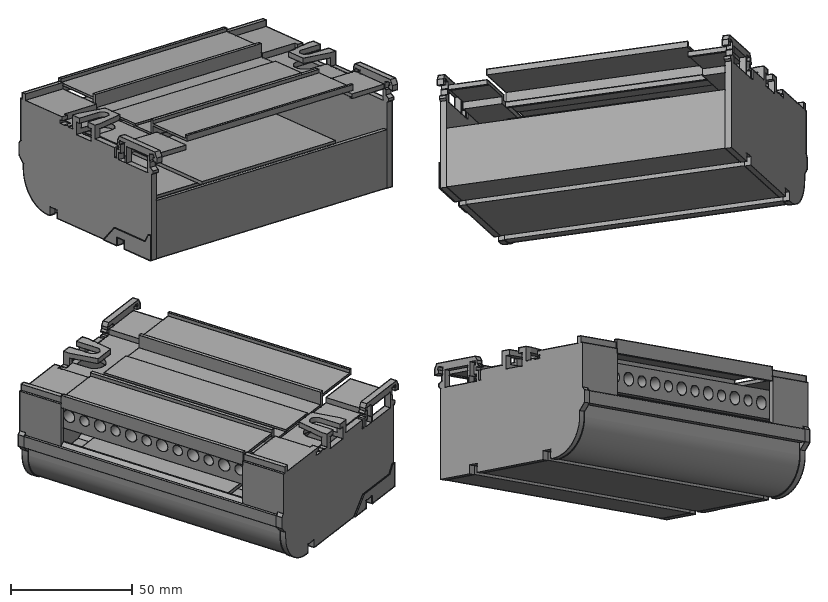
import cadquery as cq
import math

cap_end = 64.5
plate_thickness = 2.9
plate_inner = cap_end - plate_thickness
cover_end = 44.5
foot_plate_thickness = 0.5

front_x = 1.2
toe_x = 2.9
right_x = 85.8
nose_bottom = 21.0
nose_top = 26.3
nose_slope_top = 27.6
toe_top = 17.9
toe_radius = 15.8
toe_end = toe_x + toe_radius
heel_x = toe_end + 1.3
sole_z = 0.3
notch_height = 4.0
notch_width = 4.7
notch_starts = (20.1, 63.9)

plate_top = 43.2
window_bottom = 38.6
rear_window = (69.6, 83.2)

ridge_top = 49.3
ridge_start = 2.2
ridge_end = 4.3
front_wall = 2.1
front_deck = 46.4
front_deck_end = 26.2
middle_deck = 43.5
middle_deck_bottom = 41.3
rear_deck = 46.0
rear_deck_start = 65.2
rear_deck_end = 84.0
deck_thickness = 1.5
step_wall = 2.0
rear_lip = 1.2
rear_lip_bottom = 44.0

lug_middle = 42.0
lug_base_width = 14.5
lug_tip_width = 9.6
lug_length = 15.4
lug_bottom = 46.9
lug_slot_width = 5.5
lug_slot_length = 12.7
lug_opening_length = 15.3

cover_top = 50.4
cover_wall = 1.5
channel_top = 48.9
channel_thickness = 1.0
front_channel = (1.4, 25.4)
rear_channel = (61.2, 84.6)
rear_edge_wall = 1.2
center_panel = (34.5, 51.2)
web_thickness = 0.9
tongue = (62.0, 63.1)
tongue_bottom = 41.2

bar_front = 9.2
bar_thickness = 6.5
bar_bottom = 30.1
bar_top = 42.3
hole_z = 36.4
hole_pitch = 7.6
large_hole = 5.6
small_hole = 4.7
holes_each_side = 6

tray_inset = 0.4
tray_wall = 2.0
tray_floor = 5.6
inner_radius = 10.4
ramp_crest = 3.1
rim_inner = 3.6
rib_start = 41.6
rib_end = 44.5
rib_height = 1.5
board_end = 35.8
board_top = 27.5
board_thickness = 1.5


def section(points):
    return cq.Workplane("XZ").polyline(points).close()


def extrude_between(outline, start, end):
    """Extrude a closed XZ outline from Y = start to Y = end."""
    return outline.extrude(start - end).translate((0, start, 0))


def block(x_start, x_end, z_start, z_end, y_start, y_end):
    corners = [(x_start, z_start), (x_end, z_start), (x_end, z_end), (x_start, z_end)]
    return extrude_between(section(corners), y_start, y_end)


def quarter_point(radius):
    """Distance of the middle of a quarter arc from each of the two sides it joins."""
    return radius * (1 - math.sqrt(0.5))


def cut_notches(body):
    """Cut the two square notches that run along Y in the underside."""
    for start in notch_starts:
        notch = block(start, start + notch_width, 0, notch_height, -cap_end - foot_plate_thickness, cap_end)
        body = body.cut(notch)
    return body


def end_plate():
    arc_middle = quarter_point(toe_radius)
    outline = (
        cq.Workplane("XZ")
        .moveTo(toe_end, 0)
        .threePointArc((toe_x + arc_middle, arc_middle), (toe_x, toe_radius))
        .lineTo(toe_x, toe_top)
        .lineTo(0, nose_bottom)
        .lineTo(0, nose_top)
        .lineTo(front_x, nose_slope_top)
        .lineTo(front_x, front_deck)
        .lineTo(28.0, front_deck)
        .lineTo(28.0, 44.6)
        .lineTo(26.7, 44.6)
        .lineTo(26.7, plate_top)
        .lineTo(30.0, plate_top)
        .lineTo(30.0, middle_deck)
        .lineTo(32.3, middle_deck)
        .lineTo(32.3, plate_top)
        .lineTo(61.8, plate_top)
        .lineTo(61.8, 38.9)
        .lineTo(63.1, 38.9)
        .lineTo(63.1, plate_top)
        .lineTo(64.5, plate_top)
        .lineTo(64.5, 44.6)
        .lineTo(63.3, 44.8)
        .lineTo(63.3, 45.4)
        .lineTo(64.0, 46.1)
        .lineTo(64.0, 47.5)
        .lineTo(65.1, ridge_top)
        .lineTo(88.0, ridge_top)
        .lineTo(89.3, 46.9)
        .lineTo(89.3, 44.5)
        .lineTo(86.8, 45.0)
        .lineTo(86.8, 46.4)
        .lineTo(87.5, 46.5)
        .lineTo(87.2, 47.7)
        .lineTo(86.0, 47.7)
        .lineTo(85.5, 47.3)
        .lineTo(84.5, 47.3)
        .lineTo(84.5, 44.3)
        .lineTo(85.0, 43.8)
        .lineTo(85.0, 41.5)
        .lineTo(86.8, 40.5)
        .lineTo(86.8, 39.3)
        .lineTo(right_x, 38.5)
        .lineTo(right_x, sole_z)
        .lineTo(heel_x, sole_z)
        .lineTo(heel_x, 0)
        .close()
    )
    post_window = section([
        (64.5, window_bottom), (64.5, 41.7), (65.8, 41.7), (65.8, 45.6), (65.2, 45.6),
        (65.2, 47.3), (68.3, 47.3), (68.3, 41.5), (68.7, 41.5), (68.7, window_bottom),
    ])
    plate = extrude_between(outline, -cap_end, -plate_inner)
    plate = plate.cut(extrude_between(post_window, -cap_end, -plate_inner))
    plate = plate.cut(block(*rear_window, window_bottom, rear_deck, -cap_end, -plate_inner))
    return cut_notches(plate)


def cap_shell():
    """Front wall and stepped decks between the end plate and the cover."""
    front_inner = front_x + front_wall
    front_underside = front_deck - deck_thickness
    rear_underside = rear_deck - deck_thickness
    outline = section([
        (front_x, nose_top),
        (front_x, front_deck),
        (ridge_start, front_deck),
        (ridge_start, ridge_top),
        (ridge_end, ridge_top),
        (ridge_end, front_deck),
        (front_deck_end, front_deck),
        (front_deck_end, middle_deck),
        (rear_deck_start, middle_deck),
        (rear_deck_start, rear_deck),
        (rear_deck_end, rear_deck),
        (rear_deck_end, rear_lip_bottom),
        (rear_deck_end - rear_lip, rear_lip_bottom),
        (rear_deck_end - rear_lip, rear_underside),
        (rear_deck_start + step_wall, rear_underside),
        (rear_deck_start + step_wall, middle_deck_bottom),
        (front_deck_end - step_wall, middle_deck_bottom),
        (front_deck_end - step_wall, front_underside),
        (front_inner, front_underside),
        (front_inner, nose_top),
    ])
    shell = extrude_between(outline, -plate_inner, -cover_end)
    ridge_on_plate = block(ridge_start, ridge_end, front_deck, ridge_top, -cap_end, -plate_inner)
    return shell.union(ridge_on_plate)


def lug():
    base = lug_base_width / 2
    tip = lug_tip_width / 2
    plan = [
        (-base, -cap_end),
        (base, -cap_end),
        (base, -plate_inner),
        (tip, lug_length - cap_end),
        (-tip, lug_length - cap_end),
        (-base, -plate_inner),
    ]
    tongue_plate = (
        cq.Workplane("XY", origin=(lug_middle, 0, lug_bottom))
        .polyline(plan)
        .close()
        .extrude(ridge_top - lug_bottom)
    )
    support = block(lug_middle - base, lug_middle + base, plate_top, lug_bottom, -cap_end, -plate_inner)
    return tongue_plate.union(support)


def round_ended_slot(width, length, z_start, z_end):
    """Slot open at the outer face of the cap and rounded at its inner end."""
    half = width / 2
    slot_end = length - cap_end
    return (
        cq.Workplane("XY", origin=(lug_middle, 0, z_start))
        .moveTo(-half, -cap_end)
        .lineTo(half, -cap_end)
        .lineTo(half, slot_end - half)
        .threePointArc((0, slot_end), (-half, slot_end - half))
        .close()
        .extrude(z_end - z_start)
    )


def end_cap():
    """Cap at the -Y end."""
    cap = end_plate().union(cap_shell()).union(lug())
    cap = cap.cut(round_ended_slot(lug_tip_width, lug_opening_length, middle_deck_bottom, lug_bottom))
    return cap.cut(round_ended_slot(lug_slot_width, lug_slot_length, lug_bottom, ridge_top))


def foot_plate():
    """Thin plate on the outer face of the -Y cap, with a bevelled slanted edge."""
    slant_start = (55.0, sole_z)
    slant_end = (62.0, 7.8)
    bevel = 0.4
    outer_face = -cap_end - foot_plate_thickness
    outline = section([
        slant_start, slant_end, (82.0, 7.8), (84.4, 11.5), (right_x, 11.5), (right_x, sole_z),
    ])
    slant_middle = (
        (slant_start[0] + slant_end[0]) / 2,
        outer_face,
        (slant_start[1] + slant_end[1]) / 2,
    )
    plate = extrude_between(outline, outer_face, -cap_end)
    plate = plate.edges(cq.NearestToPointSelector(slant_middle)).chamfer(bevel)
    return cut_notches(plate)


def tray():
    outer_toe = toe_x + tray_inset
    outer_radius = toe_radius - tray_inset
    outer_middle = quarter_point(outer_radius)
    outline = (
        cq.Workplane("XZ")
        .moveTo(toe_end, tray_inset)
        .threePointArc((outer_toe + outer_middle, tray_inset + outer_middle), (outer_toe, toe_radius))
        .lineTo(outer_toe, nose_bottom)
        .lineTo(0, nose_bottom)
        .lineTo(0, nose_top)
        .lineTo(right_x, nose_top)
        .lineTo(right_x, tray_inset)
        .close()
    )
    inner_x = outer_toe + tray_wall
    shoulder_z = nose_bottom + tray_wall
    inner_middle = quarter_point(inner_radius)
    hollow = (
        cq.Workplane("XZ")
        .moveTo(rim_inner, nose_top)
        .lineTo(rim_inner, shoulder_z)
        .lineTo(inner_x, shoulder_z)
        .lineTo(inner_x, tray_floor + inner_radius)
        .threePointArc(
            (inner_x + inner_middle, tray_floor + inner_middle), (inner_x + inner_radius, tray_floor)
        )
        .lineTo(rib_start, tray_floor)
        .lineTo(rib_end, tray_floor + rib_height)
        .lineTo(rib_end, tray_floor)
        .lineTo(right_x - tray_wall, tray_floor)
        .lineTo(right_x - tray_wall, nose_top)
        .close()
    )
    body = extrude_between(outline, -plate_inner, plate_inner)
    body = body.cut(extrude_between(hollow, -plate_inner, plate_inner))
    ramp = section([
        (front_x, nose_top), (ramp_crest, nose_slope_top), (rim_inner, nose_slope_top), (rim_inner, nose_top),
    ])
    ramp = extrude_between(ramp, -cover_end, cover_end)
    return cut_notches(body.union(ramp))


def board():
    """Flat board held between the front rim and the rear wall of the tray."""
    board_bottom = board_top - board_thickness
    return block(rim_inner, right_x - tray_wall, board_bottom, board_top, -board_end, board_end)


def cover():
    """Two edged channels joined by a web with a raised panel, all of one section along Y."""
    front_start, front_end = front_channel
    rear_start, rear_end = rear_channel
    panel_start, panel_end = center_panel
    web_bottom = middle_deck
    web_top = web_bottom + web_thickness
    panel_top = web_top + web_thickness
    channel_bottom = channel_top - channel_thickness
    strips = [
        (front_start, front_end, channel_bottom, channel_top),
        (front_start, front_start + cover_wall, web_top, cover_top),
        (front_end - cover_wall, front_end, web_bottom, cover_top),
        (front_end, panel_start + web_thickness, web_bottom, web_top),
        (panel_start, panel_end, web_top, panel_top),
        (panel_end - web_thickness, rear_start, web_bottom, web_top),
        (rear_start, rear_start + cover_wall, plate_top, cover_top),
        (*tongue, tongue_bottom, web_bottom),
        (rear_start, rear_end, channel_bottom, channel_top),
        (rear_end - rear_edge_wall, rear_end, channel_bottom, cover_top),
    ]
    body = cq.Workplane("XY")
    for strip in strips:
        body = body.union(block(*strip, -cover_end, cover_end))
    return body.clean()


def perforated_bar():
    """Bar between the cap plates with large and small holes in turn."""
    bar = block(bar_front, bar_front + bar_thickness, bar_bottom, bar_top, -plate_inner, plate_inner)
    for number in range(-holes_each_side, holes_each_side + 1):
        diameter = small_hole if number % 2 else large_hole
        hole = (
            cq.Workplane("YZ", origin=(bar_front, number * hole_pitch, hole_z))
            .circle(diameter / 2)
            .extrude(bar_thickness)
        )
        bar = bar.cut(hole)
    return bar


front_cap = end_cap()
end_caps = [front_cap, front_cap.mirror("XZ")]
other_bodies = [foot_plate(), tray(), board(), cover(), perforated_bar()]

result = cq.Compound.makeCompound([body.val() for body in end_caps + other_bodies])